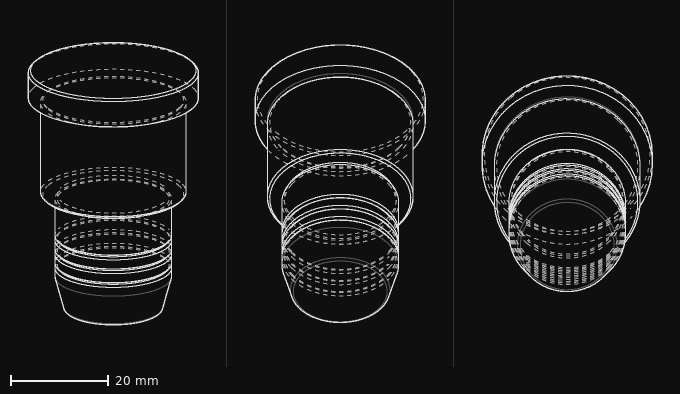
import cadquery as cq
import math

total_height = 52.0
edge_chamfer = 0.5

head_radius = 17.5
head_height = 6.0

body_radius = 14.98
body_length = 21.0

neck_radius = 11.5
neck_length = 1.0
pin_radius = 12.0

groove_size = 0.5
groove_count = 3
groove_pitch = 3.0
first_groove_drop = 9.0

tip_length = 7.1
tip_angle = 15.0
tip_fillet = 0.6

head_bottom = total_height - head_height
body_bottom = head_bottom - body_length
pin_top = body_bottom - neck_length
tip_radius = pin_radius - tip_length * math.tan(math.radians(tip_angle))


def revolve(outline):
    """Close a (radius, height) outline and revolve it about the Z axis."""
    return outline.close().revolve(360, (0, 0), (0, 1))


def cylinder(radius, bottom, top):
    outline = cq.Workplane("XZ").moveTo(0, bottom).lineTo(radius, bottom).lineTo(radius, top).lineTo(0, top)
    return revolve(outline)


def groove_cutter(radius, top):
    """Ring cutter for a groove whose upper edge is at the given height."""
    middle = top - groove_size
    bottom = middle - groove_size
    outline = (
        cq.Workplane("XZ")
        .moveTo(radius, top)
        .radiusArc((radius - groove_size, middle), -groove_size)
        .lineTo(radius, bottom)
    )
    return revolve(outline)


def make_head():
    head = cylinder(head_radius, head_bottom, total_height)
    return head.faces(">Z").edges().chamfer(edge_chamfer)


def make_body():
    """Body with a chamfered lower edge and an undercut groove below the head."""
    body = cylinder(body_radius, body_bottom, head_bottom).faces("<Z").edges().chamfer(edge_chamfer)
    return body.cut(groove_cutter(body_radius, head_bottom))


def make_pin():
    """Grooved pin with a tapered, rounded tip."""
    outline = (
        cq.Workplane("XZ")
        .lineTo(tip_radius, 0)
        .lineTo(pin_radius, tip_length)
        .lineTo(pin_radius, pin_top)
        .lineTo(0, pin_top)
    )
    pin = revolve(outline).faces("<Z").edges().fillet(tip_fillet)
    for index in range(groove_count):
        groove_top = body_bottom - first_groove_drop - index * groove_pitch
        pin = pin.cut(groove_cutter(pin_radius, groove_top))
    return pin


neck = cylinder(neck_radius, pin_top, body_bottom)
result = make_head().union(make_body()).union(neck).union(make_pin())